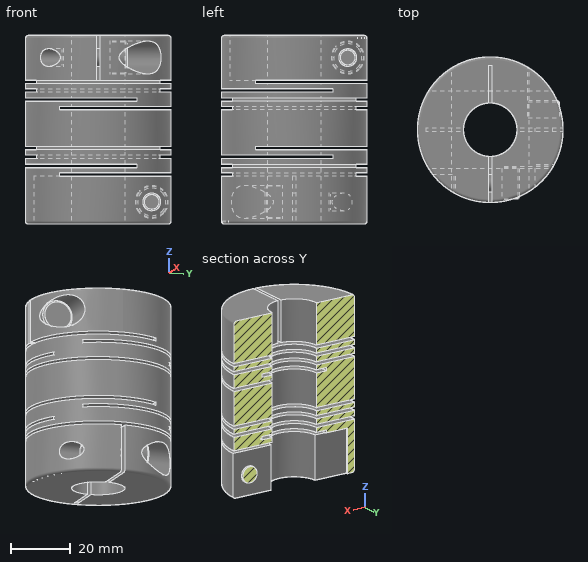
import cadquery as cq

height = 63.5
outer_radius = 24.5
bore_radius = 8.95
rim_fillet = 1.0

slot_thickness = 1.0
slot_reach = 13.0
slot_group_tops = [47.8, 25.5]
slot_pitch = 2.85
slot_pair_gap = 3.1
slot_layout = [
    (0, 0),
    (slot_pitch, 180),
    (slot_pitch + slot_pair_gap, -90),
    (2 * slot_pitch + slot_pair_gap, 90),
]

slit_width = 1.3
slit_reach = 21.6
last_slot_drop = slot_layout[-1][0]
top_slit_depth = height - slot_group_tops[0] - slot_thickness / 2
bottom_slit_depth = slot_group_tops[1] - last_slot_drop - slot_thickness / 2

screw_offset = 18.0
screw_depth = 7.5
shank_radius = 3.0
shank_end = -12.25
tip_chamfer = 0.5
head_radius = 5.3
head_end = 9.85
head_length = 6.0
head_chamfer = 0.6
counterbore_radius = 5.5
counterbore_floor = head_end - head_length


def body():
    cylinder = cq.Workplane("XY").circle(outer_radius).extrude(height)
    rounded = cylinder.faces("<Z or >Z").edges().fillet(rim_fillet)
    return rounded.cut(cq.Workplane("XY").circle(bore_radius).extrude(height))


def flexure_slot(centre_height, turn):
    """Flat saw cut entering from -Y before it is turned about Z."""
    length = outer_radius + slot_reach
    cut = cq.Workplane("XY").box(2 * outer_radius, length, slot_thickness)
    cut = cut.translate((0, (slot_reach - outer_radius) / 2, centre_height))
    return cut.rotate((0, 0, 0), (0, 0, 1), turn)


def clamp_slit(depth):
    """Slit open to -Y, cut down from the top face."""
    length = outer_radius + slit_reach
    cut = cq.Workplane("XY").box(slit_width, length, depth)
    return cut.translate((0, (slit_reach - outer_radius) / 2, height - depth / 2))


def screw_rod(radius, start, end):
    """Cylinder on the top clamp screw's axis, between two X positions."""
    centre = (start, -screw_offset, height - screw_depth)
    return cq.Workplane("YZ", origin=centre).circle(radius).extrude(end - start)


def screw_holes():
    threaded = screw_rod(shank_radius, -outer_radius, shank_end + tip_chamfer)
    counterbore = screw_rod(counterbore_radius, counterbore_floor, outer_radius)
    return threaded.union(counterbore)


def screw():
    shank = screw_rod(shank_radius, shank_end, counterbore_floor)
    shank = shank.faces("<X").chamfer(tip_chamfer)
    head = screw_rod(head_radius, counterbore_floor, head_end)
    head = head.faces(">X").chamfer(head_chamfer)
    return shank.union(head)


def to_bottom(shape):
    """Carry a top clamp feature to the bottom: mirror it in Z, then turn it to open to +X."""
    mirrored = shape.mirror("XY", (0, 0, height / 2))
    return mirrored.rotate((0, 0, 0), (0, 0, 1), 90)


result = body()

for group_top in slot_group_tops:
    for drop, turn in slot_layout:
        result = result.cut(flexure_slot(group_top - drop, turn))

result = result.cut(clamp_slit(top_slit_depth)).cut(to_bottom(clamp_slit(bottom_slit_depth)))
result = result.cut(screw_holes()).cut(to_bottom(screw_holes()))
result = result.union(screw()).union(to_bottom(screw()))